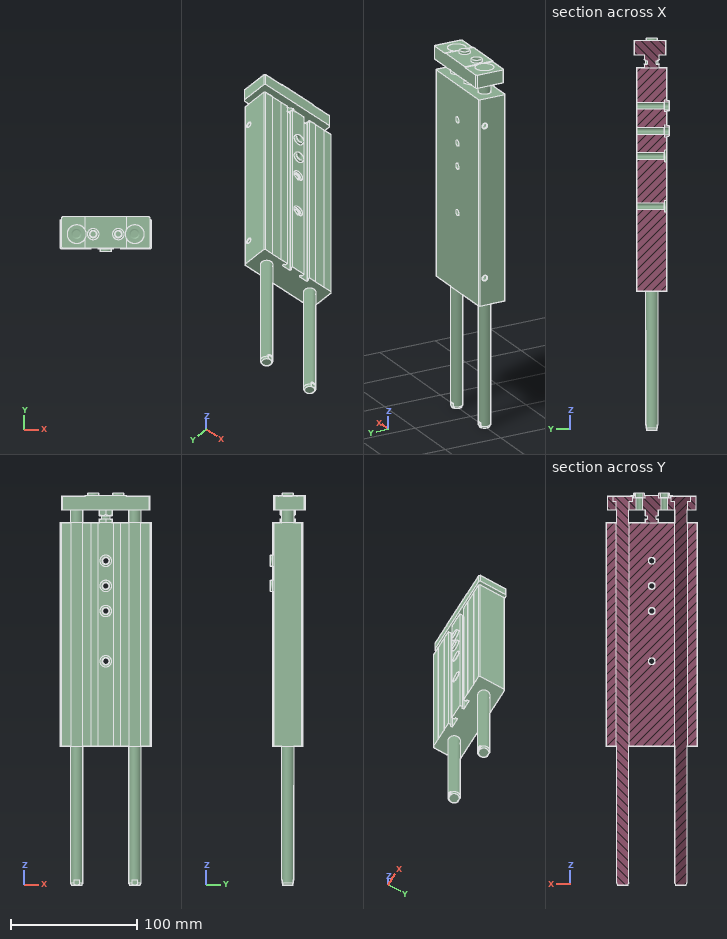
import cadquery as cq

join_overlap = 0.3

total_height = 310.5
rod_pitch = 46.0
rod_dia = 10.0
rod_end_chamfer = 1.0
rod_end_chamfer_height = 2.0
rod_stickout = 110.0
groove_height = 4.5
groove_width = 4.0
groove_depth = 1.0
head_dia = 15.0
head_height = 4.0
socket_dia = 8.0
socket_floor_dia = 6.0
socket_depth = 0.3

housing_width = 72.0
housing_depth = 24.0
housing_height = 177.0
housing_chamfer = 1.0
slot_inner = 6.2
slot_outer = 11.8
slot_depth = 4.5
slot_undercut = 1.2
slot_lip = 2.5
relief_inner = 18.3
relief_outer = 27.5
relief_depth = 0.1
port_mouth_dia = 5.0
port_dia = 4.0
port_depth = 5.0
port_point_height = 1.2
port_y = 6.8
port_inset = 23.3

hole_pitch = 20.0
top_hole_drop = 30.0
hole_steps = [0, 1, 2, 4]
sleeved_steps = [0, 1]
hole_dia = 5.0
hole_sink_dia = 6.0
sleeve_dia = 9.0
sleeve_bore = 6.0
recess_depth = 2.0
front_stand_out = 2.0
top_stand_out = 2.0
top_sleeve_pitch = 20.0

plate_gap = 10.0
plate_width = 70.0
plate_front = -11.2
plate_back = 14.0
plate_chamfer = 1.0
pad_width = 32.5
pad_height = 0.5
nut_corner_dia = 12.0
nut_height = 4.7
nut_chamfer = 1.2
neck_dia = 6.8
stop_head_height = 2.8

housing_bottom = rod_stickout
housing_top = housing_bottom + housing_height
housing_front = -housing_depth / 2
plate_bottom = housing_top + plate_gap
pad_top = total_height - top_stand_out
plate_top = pad_top - pad_height
hole_heights = {step: housing_top - top_hole_drop - step * hole_pitch for step in hole_steps}
rod_places = [-rod_pitch / 2, rod_pitch / 2]
top_sleeve_places = [-top_sleeve_pitch / 2, top_sleeve_pitch / 2]


def upright_cylinder(x, bottom, top, diameter):
    return cq.Workplane("XY", origin=(x, 0, bottom)).circle(diameter / 2).extrude(top - bottom)


def upright_box(x_range, y_range, z_range):
    corner = (x_range[0], y_range[0], z_range[0])
    sizes = [high - low for low, high in (x_range, y_range, z_range)]
    return cq.Workplane("XY", origin=corner).box(*sizes, centered=False)


def sleeve_hole_cutter(entry, depth):
    """Through hole with a countersink below a sleeve recess, sunk against the entry plane's normal."""
    sink_depth = (hole_sink_dia - hole_dia) / 2
    hole = entry.circle(hole_dia / 2).extrude(-depth)
    recess = entry.circle(sleeve_dia / 2).extrude(-recess_depth)
    sink = entry.workplane(offset=-recess_depth).circle(hole_sink_dia / 2)
    sink = sink.workplane(offset=-sink_depth).circle(hole_dia / 2).loft(combine=False)
    return hole.union(recess).union(sink)


def port_cutter(z):
    """Countersunk air port with a drill point, bored along +X from the left side."""
    mouth_x = -housing_width / 2
    countersink = (port_mouth_dia - port_dia) / 2
    outline = [
        (mouth_x, port_y),
        (mouth_x, port_y + port_mouth_dia / 2),
        (mouth_x + countersink, port_y + port_dia / 2),
        (mouth_x + port_depth, port_y + port_dia / 2),
        (mouth_x + port_depth + port_point_height, port_y),
    ]
    half_section = cq.Workplane("XY", origin=(0, 0, z)).polyline(outline).close()
    return half_section.revolve(360, (mouth_x, port_y), (0, port_y))


def make_housing():
    body = upright_box(
        (-housing_width / 2, housing_width / 2),
        (housing_front, -housing_front),
        (housing_bottom, housing_top),
    )
    body = body.edges("|Z").chamfer(housing_chamfer)

    lip_back = housing_front + slot_lip
    slot_floor = housing_front + slot_depth
    for side in (-1, 1):
        slot_outline = [
            (side * slot_inner, housing_front),
            (side * slot_inner, lip_back),
            (side * (slot_inner - slot_undercut), lip_back),
            (side * (slot_inner - slot_undercut), slot_floor),
            (side * (slot_outer + slot_undercut), slot_floor),
            (side * (slot_outer + slot_undercut), lip_back),
            (side * slot_outer, lip_back),
            (side * slot_outer, housing_front),
        ]
        slot = cq.Workplane("XY", origin=(0, 0, housing_bottom)).polyline(slot_outline).close()
        body = body.cut(slot.extrude(housing_height))
        relief = upright_box(
            sorted((side * relief_inner, side * relief_outer)),
            (housing_front, housing_front + relief_depth),
            (housing_bottom, housing_top),
        )
        body = body.cut(relief)

    for x in rod_places:
        body = body.cut(upright_cylinder(x, housing_bottom, housing_top, rod_dia))

    for z in hole_heights.values():
        entry = cq.Workplane("XZ", origin=(0, housing_front, z))
        body = body.cut(sleeve_hole_cutter(entry, housing_depth))

    for z in (housing_bottom + port_inset, housing_top - port_inset):
        body = body.cut(port_cutter(z))
    return body


def hexagon_prism(bottom, height):
    """Hexagon on the Z axis with corners towards -Y and +Y."""
    plane = cq.Workplane("XY", origin=(0, 0, bottom)).transformed(rotate=(0, 0, 90))
    return plane.polygon(6, nut_corner_dia).extrude(height)


def make_stop_screw():
    screw = upright_cylinder(0, housing_top, plate_bottom + join_overlap, neck_dia)
    screw = screw.union(hexagon_prism(housing_top, stop_head_height))
    nut_bottom = plate_bottom - nut_height
    nut_envelope = upright_cylinder(0, nut_bottom, plate_bottom, nut_corner_dia)
    nut_envelope = nut_envelope.faces("<Z").chamfer(nut_chamfer)
    return screw.union(hexagon_prism(nut_bottom, nut_height).intersect(nut_envelope))


def make_end_plate():
    plate = upright_box(
        (-plate_width / 2, plate_width / 2), (plate_front, plate_back), (plate_bottom, plate_top)
    )
    plate = plate.edges("|Z").chamfer(plate_chamfer)
    pad = upright_box(
        (-pad_width / 2, pad_width / 2), (plate_front, plate_back), (plate_top - join_overlap, pad_top)
    )
    plate = plate.union(pad)
    for x in rod_places:
        plate = plate.cut(upright_cylinder(x, plate_bottom, plate_top, rod_dia))
        plate = plate.cut(upright_cylinder(x, plate_top - head_height, pad_top, head_dia))
    for x in top_sleeve_places:
        entry = cq.Workplane("XY", origin=(x, 0, pad_top))
        plate = plate.cut(sleeve_hole_cutter(entry, pad_top - plate_bottom))
    return plate.union(make_stop_screw())


def make_rod(x):
    rod = upright_cylinder(x, 0, plate_top, rod_dia)
    rod = rod.faces("<Z").chamfer(rod_end_chamfer_height, rod_end_chamfer)
    rod = rod.union(upright_cylinder(x, plate_top - head_height, plate_top, head_dia))
    socket = (
        cq.Workplane("XY", origin=(x, 0, plate_top))
        .circle(socket_dia / 2)
        .workplane(offset=-socket_depth)
        .circle(socket_floor_dia / 2)
        .loft()
    )
    rod = rod.cut(socket)
    groove_floor = rod_dia / 2 - groove_depth
    x_range = (x - groove_width / 2, x + groove_width / 2)
    for y_range in ((-rod_dia, -groove_floor), (groove_floor, rod_dia)):
        rod = rod.cut(upright_box(x_range, y_range, (0, groove_height)))
    return rod


def make_sleeve(stand_out):
    """Sleeve on the Z axis with a half-round free end; z = 0 is the surface it stands out of."""
    inner = sleeve_bore / 2
    outer = sleeve_dia / 2
    middle = (inner + outer) / 2
    round_start = stand_out - (outer - inner) / 2
    half_section = (
        cq.Workplane("XZ")
        .moveTo(inner, -recess_depth)
        .lineTo(outer, -recess_depth)
        .lineTo(outer, round_start)
        .threePointArc((middle, stand_out), (inner, round_start))
        .close()
    )
    return half_section.revolve(360, (0, 0), (0, 1))


def make_front_sleeve(z):
    sleeve = make_sleeve(front_stand_out).rotate((0, 0, 0), (1, 0, 0), 90)
    return sleeve.translate((0, housing_front, z))


def make_top_sleeve(x):
    return make_sleeve(top_stand_out).translate((x, 0, pad_top))


housing = make_housing()
end_plate = make_end_plate()
rods = [make_rod(x) for x in rod_places]
front_sleeves = [make_front_sleeve(hole_heights[step]) for step in sleeved_steps]
top_sleeves = [make_top_sleeve(x) for x in top_sleeve_places]

bodies = [housing, end_plate, *rods, *front_sleeves, *top_sleeves]
result = cq.Compound.makeCompound([body.solids().val() for body in bodies])